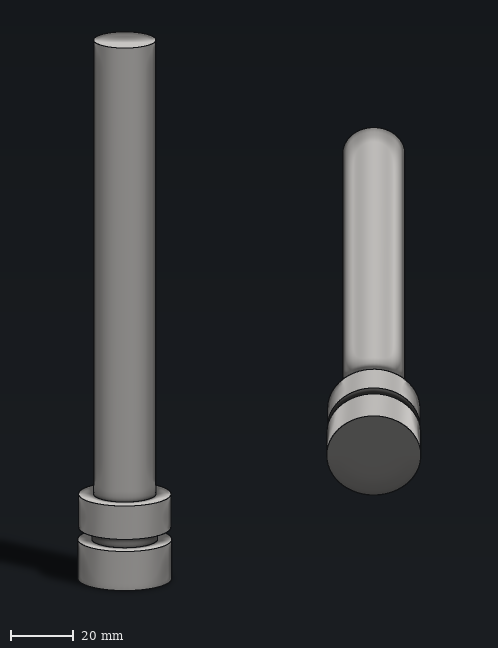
import cadquery as cq

total_length = 178.0
base_height = 13.0
groove_height = 4.0
collar_height = 11.0
rod_length = total_length - base_height - groove_height - collar_height

base_diameter = 30.0
groove_diameter = 21.0
collar_diameter = 29.5
rod_diameter = 20.0

sections = [
    (base_diameter, base_height),
    (groove_diameter, groove_height),
    (collar_diameter, collar_height),
    (rod_diameter, rod_length),
]

result = cq.Workplane("XY").circle(base_diameter / 2).extrude(base_height)
for diameter, height in sections[1:]:
    result = result.faces(">Z").workplane().circle(diameter / 2).extrude(height)